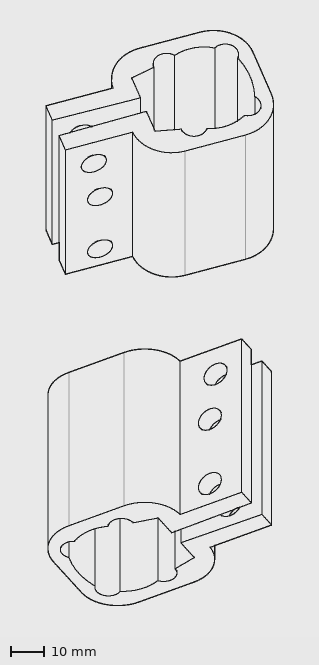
import cadquery as cq
import math

width = 42.4
length = 66.05
height = 59.7

corner_radius = 12.7
body_front_y = 21.45

ear_half_width = 9.1
gap_half_inner = 2.8
gap_half_outer = 3.2

cavity_floor_y = 28.1
cavity_floor_half_width = 10.95
cavity_back_y = 62.15
cavity_side_x = 16.05
cavity_side_y = 48.4

lobe_radius = 4.0
back_lobe_center = (10.5, 57.8)
back_lobe_start = 129
back_lobe_end = -33
front_lobe_center = (12.8, 39.8)
front_lobe_start = 56
front_lobe_end = -91

hole_diameter = 8.0
lower_hole_y = 11.1
top_hole_y = 9.1
hole_positions = [(lower_hole_y, 7.85), (lower_hole_y, 32.9), (top_hole_y, 49.6)]


def lobe_point(center, angle):
    """Point on a lobe at an angle in degrees from +X."""
    radians = math.radians(angle)
    return (
        center[0] + lobe_radius * math.cos(radians),
        center[1] + lobe_radius * math.sin(radians),
    )


def lobe_arc(wire, center, start, end):
    """Extend the wire around a lobe from its start angle to its end angle."""
    middle = lobe_point(center, (start + end) / 2)
    return wire.threePointArc(middle, lobe_point(center, end))


def make_body():
    depth = length - body_front_y
    ring = (
        cq.Workplane("XY")
        .box(width, depth, height, centered=(True, False, False))
        .edges("|Z")
        .fillet(corner_radius)
        .translate((0, body_front_y, 0))
    )
    ears = cq.Workplane("XY").box(
        2 * ear_half_width, cavity_floor_y, height, centered=(True, False, False)
    )
    return ring.union(ears)


def make_half_cavity():
    """The +X half of the lobed cavity together with the tapered gap."""
    back_notch = lobe_point(back_lobe_center, back_lobe_start)
    side_end = lobe_point(front_lobe_center, front_lobe_start)
    sagitta = cavity_back_y - back_notch[1]
    back_radius = (back_notch[0] ** 2 + sagitta ** 2) / (2 * sagitta)

    wire = cq.Workplane("XY").moveTo(0, cavity_back_y).radiusArc(back_notch, back_radius)
    wire = lobe_arc(wire, back_lobe_center, back_lobe_start, back_lobe_end)
    wire = wire.threePointArc((cavity_side_x, cavity_side_y), side_end)
    wire = lobe_arc(wire, front_lobe_center, front_lobe_start, front_lobe_end)
    return (
        wire.lineTo(cavity_floor_half_width, cavity_floor_y)
        .lineTo(gap_half_inner, cavity_floor_y)
        .lineTo(gap_half_outer, 0)
        .lineTo(0, 0)
        .close()
        .extrude(height)
    )


def make_holes():
    return (
        cq.Workplane("YZ")
        .pushPoints(hole_positions)
        .circle(hole_diameter / 2)
        .extrude(ear_half_width, both=True)
    )


half_cavity = make_half_cavity()
result = make_body().cut(half_cavity).cut(half_cavity.mirror("YZ")).cut(make_holes())